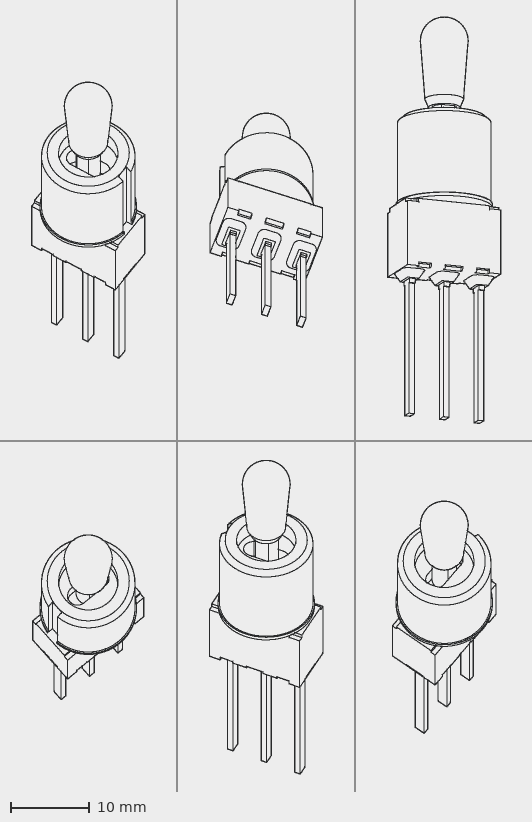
import cadquery as cq
import math


overall_height = 52.5
pin_step_z = 17.05
skirt_bottom_z = 17.65
body_bottom_z = 18.7
cap_shoulder_z = 27.1
flange_bottom_z = 27.55
flange_top_z = 28.0
bushing_chamfer_z = 38.75
bushing_top_z = 39.35
grip_bottom_z = 40.7
grip_chamfer_z = 41.8

body_length = 12.7
body_width = 6.8
panel_length = 9.65
panel_top_round = 1.0
panel_bottom_round = 0.35
panel_top_z = 27.9
cap_top_width = 5.5
cap_length = (body_length - panel_length) / 2

notch_height = 0.45
notch_depth = 0.65
middle_notch_length = 2.35
outer_notch_reach = 3.1

flange_diameter = 12.25
flange_radius = flange_diameter / 2
bushing_radius = 5.95
bushing_top_radius = 5.2
bore_diameter = 7.5
bore_depth = 2.35
lever_slot_depth = 2.6
lever_slot_reach = 3.05
keyway_width = 1.8

grip_radius = 3.05
grip_lower_radius = 2.45
grip_bottom_radius = 2.0
stem_diameter = 3.1
stem_thickness = 2.5
grip_ball_z = overall_height - grip_radius

pin_pitch = 4.7
pin_size_x = 0.8
pin_size_y = 1.4
pin_root_size_y = 1.95
skirt_length = 3.05
skirt_width = 4.1
skirt_inset = 0.75
skirt_corner_radius = 0.85

bore_floor_z = bushing_top_z - bore_depth
lever_slot_floor_z = bore_floor_z - lever_slot_depth


def block(size_x, size_y, bottom_z, top_z, center_x=0.0, center_y=0.0):
    """Upright box between two levels, centred on the given point."""
    base = cq.Workplane("XY", origin=(center_x, center_y, bottom_z))
    return base.rect(size_x, size_y).extrude(top_z - bottom_z)


def make_panel():
    """Centre panel with its long edges rounded and notched along the bottom."""
    panel = block(panel_length, body_width, body_bottom_z, panel_top_z)
    panel = panel.edges("|X and >Z").fillet(panel_top_round)
    panel = panel.edges("|X and <Z").fillet(panel_bottom_round)
    outer_length = panel_length / 2 - outer_notch_reach
    outer_center = (panel_length / 2 + outer_notch_reach) / 2
    notches = (
        (-outer_center, outer_length),
        (0.0, middle_notch_length),
        (outer_center, outer_length),
    )
    notch_top_z = body_bottom_z + notch_height
    for center_x, length in notches:
        for side in (-1, 1):
            edge_y = side * body_width / 2
            panel = panel.cut(
                block(length, 2 * notch_depth, body_bottom_z, notch_top_z, center_x, edge_y)
            )
    return panel


def make_end_cap(side):
    """End cap: full width up to the shoulder, narrower above it."""
    center_x = side * (body_length - cap_length) / 2
    lower = block(cap_length, body_width, body_bottom_z, cap_shoulder_z, center_x)
    upper = block(cap_length, cap_top_width, cap_shoulder_z, flange_bottom_z, center_x)
    return lower.union(upper)


def make_bushing():
    """Flanged round bushing with a bore, a lever slot and a keyway on +X."""
    bushing = (
        cq.Workplane("XZ")
        .moveTo(0, flange_bottom_z)
        .lineTo(flange_radius, flange_bottom_z)
        .lineTo(flange_radius, flange_top_z)
        .lineTo(bushing_radius, flange_top_z)
        .lineTo(bushing_radius, bushing_chamfer_z)
        .lineTo(bushing_top_radius, bushing_top_z)
        .lineTo(0, bushing_top_z)
        .close()
        .revolve(360, (0, 0, 0), (0, 1, 0))
    )
    bore = cq.Workplane("XY", origin=(0, 0, bore_floor_z)).circle(bore_diameter / 2).extrude(bore_depth)
    lever_slot = (
        cq.Workplane("XY", origin=(0, 0, lever_slot_floor_z))
        .slot2D(2 * lever_slot_reach, stem_thickness)
        .extrude(lever_slot_depth)
    )
    keyway_depth = flange_radius - bushing_top_radius
    keyway_center = (flange_radius + bushing_top_radius) / 2
    keyway = block(keyway_depth, keyway_width, flange_bottom_z, bushing_top_z, keyway_center)
    return bushing.cut(bore).cut(lever_slot).cut(keyway)


def make_lever():
    """Tapered ball-ended grip on a stem with two flats."""
    arc_middle = grip_radius * math.sqrt(0.5)
    grip = (
        cq.Workplane("XZ")
        .moveTo(0, grip_bottom_z)
        .lineTo(grip_bottom_radius, grip_bottom_z)
        .lineTo(grip_lower_radius, grip_chamfer_z)
        .lineTo(grip_radius, grip_ball_z)
        .threePointArc((arc_middle, grip_ball_z + arc_middle), (0, overall_height))
        .close()
        .revolve(360, (0, 0, 0), (0, 1, 0))
    )
    stem = (
        cq.Workplane("XY", origin=(0, 0, lever_slot_floor_z))
        .circle(stem_diameter / 2)
        .extrude(grip_bottom_z - lever_slot_floor_z)
    )
    flats = block(stem_diameter, stem_thickness, lever_slot_floor_z, grip_bottom_z)
    return grip.union(stem.intersect(flats))


def make_pin(center_x):
    """Flat pin with a wider root, set in a skirt that narrows downwards."""
    skirt_height = body_bottom_z - skirt_bottom_z
    skirt_taper = math.degrees(math.atan2(skirt_inset, skirt_height))
    outline = cq.Sketch().rect(skirt_length, skirt_width).vertices().fillet(skirt_corner_radius)
    skirt = (
        cq.Workplane("XY", origin=(center_x, 0, body_bottom_z))
        .placeSketch(outline)
        .extrude(-skirt_height, taper=skirt_taper)
    )
    root = block(pin_size_x, pin_root_size_y, pin_step_z, body_bottom_z, center_x)
    pin = block(pin_size_x, pin_size_y, 0, body_bottom_z, center_x)
    return skirt.union(root).union(pin)


result = make_panel().union(make_bushing()).union(make_lever())
for side in (-1, 1):
    result = result.union(make_end_cap(side))
for position in (-1, 0, 1):
    result = result.union(make_pin(position * pin_pitch))